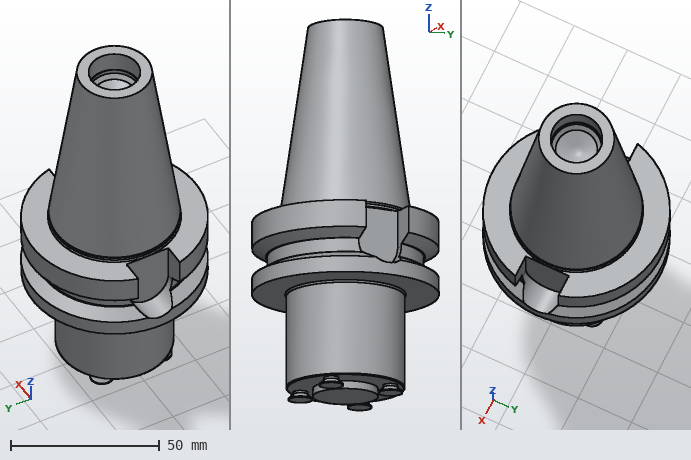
import cadquery as cq
import math

overall_height = 127.8
shank_bottom = 2.7
flange_bottom = 35.4
lower_rim_top = 40.9
upper_rim_bottom = 51.1
flange_top = 60.3
gauge_plane = 62.4

shank_diameter = 40.0
flange_diameter = 63.0
groove_diameter = 52.8
groove_lip_diameter = 53.7
neck_diameter = 44.0
gauge_diameter = 44.5
taper_ratio = 7 / 24
groove_flank_angle = 30.0

shank_chamfer = 0.4
shank_root = 0.8
neck_step = 0.6
neck_flare = 0.5

mouth_diameter = 17.4
mouth_depth = 7.3
land_diameter = 17.0
land_depth = 8.8
drill_diameter = 14.0
drill_tip_angle = 130.0

slot_width = 16.1
slot_floor_x = 22.5
slot_bottom = 39.5

spigot_diameter = 22.0
pin_offset = 11.2
pin_diameter = 5.0
pin_head_diameter = 8.0
pin_head_rim = 0.4
pin_cone_top = 1.9


def revolve_profile(points):
    """Revolve an (r, z) outline around the Z axis."""
    return cq.Workplane("XZ").polyline(points).close().revolve(360, (0, 0, 0), (0, 1, 0))


def make_body():
    shank_r = shank_diameter / 2
    flange_r = flange_diameter / 2
    groove_r = groove_diameter / 2
    lip_r = groove_lip_diameter / 2
    neck_r = neck_diameter / 2
    gauge_r = gauge_diameter / 2
    taper_end_r = gauge_r - (overall_height - gauge_plane) * taper_ratio / 2
    flank_height = (flange_r - lip_r) * math.tan(math.radians(groove_flank_angle))
    return revolve_profile([
        (0, shank_bottom),
        (shank_r - shank_chamfer, shank_bottom),
        (shank_r, shank_bottom + shank_chamfer),
        (shank_r, flange_bottom - shank_root),
        (shank_r + shank_chamfer, flange_bottom),
        (flange_r, flange_bottom),
        (flange_r, lower_rim_top),
        (lip_r, lower_rim_top + flank_height),
        (groove_r, lower_rim_top + flank_height),
        (groove_r, upper_rim_bottom - flank_height),
        (lip_r, upper_rim_bottom - flank_height),
        (flange_r, upper_rim_bottom),
        (flange_r, flange_top),
        (neck_r + neck_flare, flange_top),
        (neck_r, flange_top + neck_flare),
        (neck_r, gauge_plane - neck_step),
        (gauge_r, gauge_plane),
        (taper_end_r, overall_height),
        (0, overall_height),
    ])


def make_bore():
    mouth_r = mouth_diameter / 2
    land_r = land_diameter / 2
    drill_r = drill_diameter / 2
    mouth_floor = overall_height - mouth_depth
    land_floor = overall_height - land_depth
    seat_floor = land_floor - (land_r - drill_r)
    tip_depth = drill_r / math.tan(math.radians(drill_tip_angle / 2))
    return revolve_profile([
        (0, overall_height),
        (mouth_r, overall_height),
        (mouth_r, mouth_floor),
        (land_r, mouth_floor),
        (land_r, land_floor),
        (drill_r, seat_floor),
        (0, seat_floor - tip_depth),
    ])


def make_drive_slot(side):
    """Round-bottomed slot, open at the flange top; side is -1 or +1 along X."""
    slot_r = slot_width / 2
    arc_center_z = slot_bottom + slot_r
    slot_length = flange_diameter / 2
    return (
        cq.Workplane("YZ", origin=(side * slot_floor_x, 0, 0))
        .moveTo(-slot_r, flange_top)
        .lineTo(-slot_r, arc_center_z)
        .threePointArc((0, slot_bottom), (slot_r, arc_center_z))
        .lineTo(slot_r, flange_top)
        .close()
        .extrude(side * slot_length)
    )


def make_spigot():
    return cq.Workplane("XY").circle(spigot_diameter / 2).extrude(shank_bottom)


def make_pin():
    stem_r = pin_diameter / 2
    head_r = pin_head_diameter / 2
    return revolve_profile([
        (0, 0),
        (head_r, 0),
        (head_r, pin_head_rim),
        (stem_r, pin_cone_top),
        (stem_r, shank_bottom),
        (0, shank_bottom),
    ])


result = make_body().union(make_spigot())
for x in (-pin_offset, pin_offset):
    for y in (-pin_offset, pin_offset):
        result = result.union(make_pin().translate((x, y, 0)))
result = result.cut(make_bore())
for side in (-1, 1):
    result = result.cut(make_drive_slot(side))